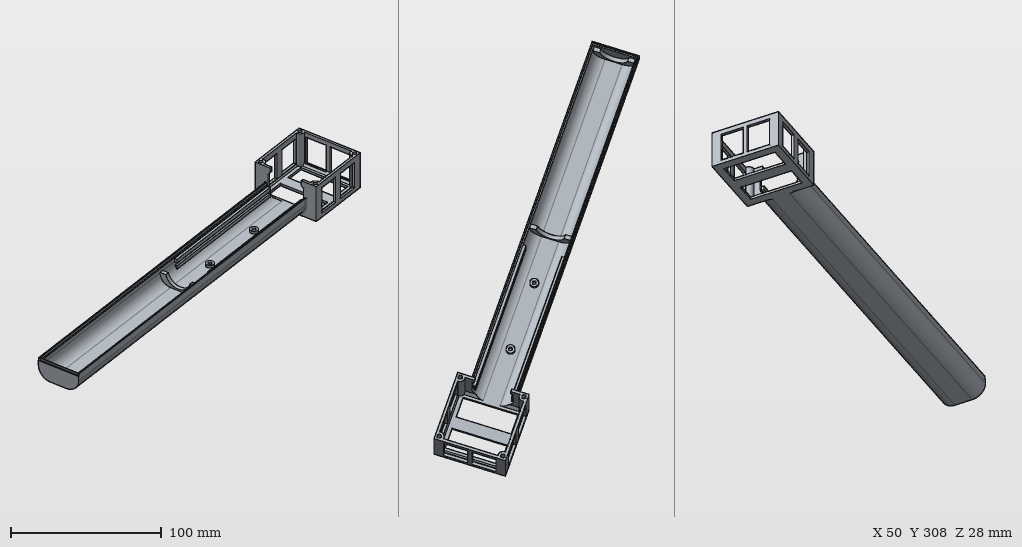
import cadquery as cq
import math

total_length = 308.0

box_width = 50.04
box_length = 50.0
box_height = 28.0
wall = 2.0
floor = 2.0
base_chamfer = 2.0
side_base_chamfer = 1.0

post_inset = 2.75
post_radius = 3.2
post_hole_diameter = 2.9
post_hole_depth = 10.0

floor_window_width = 38.5
floor_window_margin = 6.0
floor_window_bar = 8.5
side_window_margin = 6.5
side_window_bar = 5.7
side_sill_height = 3.5
side_window_top = 23.5
back_sill_height = 3.0
back_window_top = 24.4
back_window_span = 36.6
back_window_bar = 3.0

opening_top_width = 25.4
opening_chamfer = 2.0

trough_width = 33.0
trough_height = 15.5
trough_radius = 10.0
trough_inner_radius = 8.5
collar_radius = 0.7
lip = 1.0
ledge_height = 13.6
end_setback = 0.5

saddle_thickness = 3.0
saddle_height = 10.8
cradle_width = 19.6
cradle_bottom = 3.2
middle_saddle_y = -122.5

rail_length = 106.0
rail_gap = 25.0
rail_height = 12.8
rail_slot_bottom = 7.8
rail_slot_top = 9.8

boss_diameter = 6.0
boss_hole_diameter = 2.5
boss_height = 2.0
boss_positions = (-36.0, -86.0)

trough_length = total_length - box_length
inner_width = trough_width - 2 * wall
recess_width = trough_width - 2 * lip
end_y = -trough_length


def block(x_size, y_from, y_to, z_from, z_to, x_mid=0.0):
    """Box centred on x_mid, given by its Y and Z limits."""
    return (
        cq.Workplane("XY")
        .box(x_size, y_to - y_from, z_to - z_from, centered=(True, False, False))
        .translate((x_mid, y_from, z_from))
    )


def channel(width, radius, bottom, top, y_from, y_to):
    """Bar along Y with a flat bottom, rounded lower corners and upright sides."""
    half = width / 2
    diagonal = radius * math.sqrt(0.5)
    outline = (
        cq.Workplane("XZ", origin=(0, y_to, 0))
        .moveTo(-half, top)
        .lineTo(-half, bottom + radius)
        .threePointArc((radius - half - diagonal, bottom + radius - diagonal), (radius - half, bottom))
        .lineTo(half - radius, bottom)
        .threePointArc((half - radius + diagonal, bottom + radius - diagonal), (half, bottom + radius))
        .lineTo(half, top)
        .close()
    )
    return outline.extrude(y_to - y_from)


def housing_cavity():
    """Inside of the housing, its foot sloping in along all four walls."""
    half_x = box_width / 2 - wall
    crosswise = (
        cq.Workplane("XZ", origin=(0, box_length - wall, 0))
        .moveTo(-half_x, box_height)
        .lineTo(-half_x, floor + side_base_chamfer)
        .lineTo(-half_x + side_base_chamfer, floor)
        .lineTo(half_x - side_base_chamfer, floor)
        .lineTo(half_x, floor + side_base_chamfer)
        .lineTo(half_x, box_height)
        .close()
        .extrude(box_length - 2 * wall)
    )
    front = wall
    back = box_length - wall
    lengthwise = (
        cq.Workplane("YZ", origin=(-half_x, 0, 0))
        .moveTo(front, box_height)
        .lineTo(front, floor + base_chamfer)
        .lineTo(front + base_chamfer, floor)
        .lineTo(back - base_chamfer, floor)
        .lineTo(back, floor + base_chamfer)
        .lineTo(back, box_height)
        .close()
        .extrude(2 * half_x)
    )
    return crosswise.intersect(lengthwise)


def corner_points():
    """Centres of the four corner posts."""
    x = box_width / 2 - post_inset
    return [(sx * x, y) for sx in (-1, 1) for y in (post_inset, box_length - post_inset)]


def housing():
    """Open-topped box with a drilled post in each corner."""
    outside = block(box_width, 0, box_length, 0, box_height)
    posts = cq.Workplane("XY").pushPoints(corner_points()).circle(post_radius).extrude(box_height)
    holes = (
        cq.Workplane("XY", origin=(0, 0, box_height))
        .pushPoints(corner_points())
        .circle(post_hole_diameter / 2)
        .extrude(-post_hole_depth)
    )
    return outside.cut(housing_cavity()).union(posts.intersect(outside)).cut(holes)


def cut_windows(body):
    """Pairs of openings through the floor, the side walls and the back wall."""
    floor_window = (box_length - 2 * floor_window_margin - floor_window_bar) / 2
    for y in (floor_window_margin, box_length - floor_window_margin - floor_window):
        body = body.cut(block(floor_window_width, y, y + floor_window, 0, floor))
    side_window = (box_length - 2 * side_window_margin - side_window_bar) / 2
    for y in (side_window_margin, box_length - side_window_margin - side_window):
        for side in (-1, 1):
            x = side * (box_width - wall) / 2
            body = body.cut(block(wall, y, y + side_window, side_sill_height, side_window_top, x))
    back_window = (back_window_span - back_window_bar) / 2
    for side in (-1, 1):
        x = side * (back_window_bar + back_window) / 2
        body = body.cut(
            block(back_window, box_length - wall, box_length, back_sill_height, back_window_top, x)
        )
    return body


def front_opening():
    """Opening through the front wall, narrowing near the top."""
    half = inner_width / 2
    half_top = opening_top_width / 2
    return (
        cq.Workplane("XZ", origin=(0, wall, 0))
        .moveTo(-half, trough_radius)
        .lineTo(half, trough_radius)
        .lineTo(half, back_window_top - opening_chamfer)
        .lineTo(half_top, back_window_top)
        .lineTo(half_top, box_height)
        .lineTo(-half_top, box_height)
        .lineTo(-half_top, back_window_top)
        .lineTo(-half, back_window_top - opening_chamfer)
        .close()
        .extrude(wall)
    )


def trough_inside():
    """Hollow of the trough, run on through the foot of the front wall."""
    return channel(
        inner_width, trough_inner_radius, floor, trough_height, end_y + wall, wall + base_chamfer
    )


def cover_recess():
    """Seat for a cover: a ledge inside the lip, and the end wall set back above it."""
    seat = block(recess_width, end_y + lip, 0, ledge_height, trough_height)
    setback = block(trough_width, end_y, end_y + end_setback, ledge_height, trough_height)
    return seat.union(setback)


def saddle(y_from):
    """Cross wall in the trough with a curved seat in its top."""
    body = channel(
        inner_width, trough_inner_radius, floor, saddle_height, y_from, y_from + saddle_thickness
    )
    cradle = (
        cq.Workplane("XZ", origin=(0, y_from + saddle_thickness, saddle_height))
        .moveTo(-cradle_width / 2, 0)
        .threePointArc((0, cradle_bottom - saddle_height), (cradle_width / 2, 0))
        .close()
        .extrude(saddle_thickness)
    )
    return body.cut(cradle)


def rails():
    """Flat-faced strips along both trough walls, split by a slot."""
    inside = channel(inner_width, trough_inner_radius, floor, rail_height, -rail_length, 0)
    clearance = block(rail_gap, -rail_length, 0, floor, rail_height)
    slot = block(inner_width, -rail_length, 0, rail_slot_bottom, rail_slot_top)
    return inside.cut(clearance).cut(slot)


def collar():
    """Fillet around the sides and lower corners of the trough, where it meets the housing."""
    spare = 2 * collar_radius
    top = trough_height + spare
    plate = block(box_width, 0, wall, -trough_radius, top)
    stub = channel(trough_width, trough_radius, 0, top, -spare, 0)
    margin = collar_radius / 2
    reach = trough_width / 2 + margin
    seam = cq.selectors.BoxSelector((-reach, -margin, -margin), (reach, margin, top - margin))
    rounded = plate.union(stub).edges(seam).fillet(collar_radius)
    return rounded.intersect(block(box_width, -collar_radius, 0, 0, trough_height))


def screw_boss(y):
    """Short tube standing on the trough floor, its hole ending at the floor."""
    return (
        cq.Workplane("XY", origin=(0, y, floor))
        .circle(boss_diameter / 2)
        .circle(boss_hole_diameter / 2)
        .extrude(boss_height)
    )


trough = channel(trough_width, trough_radius, 0, trough_height, end_y, 0)
result = cut_windows(housing()).union(trough).union(collar())
result = result.cut(trough_inside()).cut(front_opening()).cut(cover_recess())
for saddle_y in (end_y + wall, middle_saddle_y):
    result = result.union(saddle(saddle_y))
result = result.union(rails())
for boss_y in boss_positions:
    result = result.union(screw_boss(boss_y))